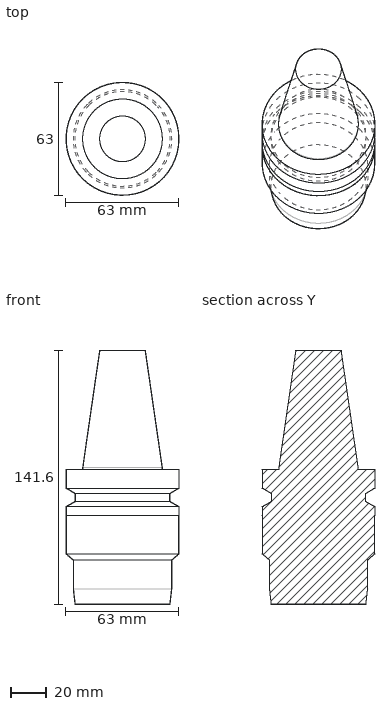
import cadquery as cq

total_length = 141.6
nose_taper_top_z = 8.5
nose_top_z = 24.6
body_cone_top_z = 28.0
flange_bottom_z = 49.4
groove_lower_z = 54.5
groove_floor_bottom_z = 57.3
groove_floor_top_z = 61.7
groove_upper_z = 64.7
flange_top_z = 75.2
taper_base_z = 76.2

nose_face_diameter = 53.0
nose_diameter = 55.0
body_diameter = 62.9
flange_diameter = 63.0
groove_diameter = 53.0
taper_large_diameter = 44.5
taper_small_diameter = 25.5

profile = [
    (0, 0),
    (nose_face_diameter, 0),
    (nose_diameter, nose_taper_top_z),
    (nose_diameter, nose_top_z),
    (body_diameter, body_cone_top_z),
    (body_diameter, flange_bottom_z),
    (flange_diameter, flange_bottom_z),
    (flange_diameter, groove_lower_z),
    (groove_diameter, groove_floor_bottom_z),
    (groove_diameter, groove_floor_top_z),
    (flange_diameter, groove_upper_z),
    (flange_diameter, flange_top_z),
    (taper_large_diameter, flange_top_z),
    (taper_large_diameter, taper_base_z),
    (taper_small_diameter, total_length),
    (0, total_length),
]

result = (
    cq.Workplane("XZ")
    .polyline([(diameter / 2, height) for diameter, height in profile])
    .close()
    .revolve(360, (0, 0), (0, 1))
)